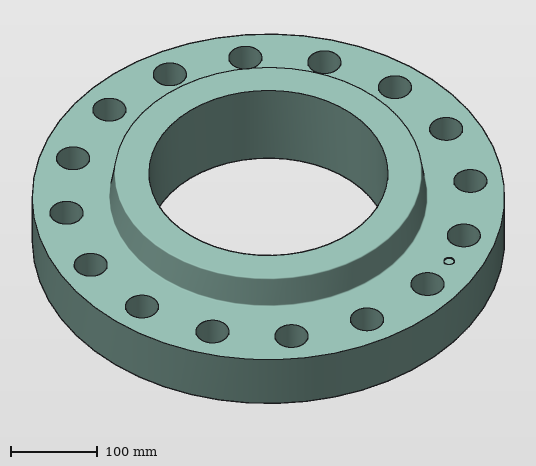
import cadquery as cq

flange_diameter = 546.0
flange_thickness = 70.0
bore_diameter = 276.0

total_height = 108.0
hub_base_diameter = 367.0
hub_top_diameter = 355.0
hub_root_radius = 1.5
hub_edge_radius = 1.5

edge_search_margin = 0.5

bolt_count = 16
bolt_circle_diameter = 469.5
bolt_hole_diameter = 38.0

recess_diameter = 12.0
recess_depth = 1.5


def ring_blank():
    """Disc with its tapered hub and bore, turned about Z."""
    profile = (
        cq.Workplane("XZ")
        .moveTo(bore_diameter / 2, 0)
        .lineTo(flange_diameter / 2, 0)
        .lineTo(flange_diameter / 2, flange_thickness)
        .lineTo(hub_base_diameter / 2, flange_thickness)
        .lineTo(hub_top_diameter / 2, total_height)
        .lineTo(bore_diameter / 2, total_height)
        .close()
    )
    return profile.revolve(360, (0, 0, 0), (0, 1, 0))


def round_circle(body, diameter, height, radius):
    """Fillet the circular edge of the given diameter at the given height."""
    reach = diameter / 2 + edge_search_margin
    picker = cq.selectors.BoxSelector(
        (-reach, -reach, height - edge_search_margin),
        (reach, reach, height + edge_search_margin),
        boundingbox=True,
    )
    return body.edges(picker).edges(cq.selectors.RadiusNthSelector(-1)).fillet(radius)


def bolt_holes():
    return (
        cq.Workplane("XY")
        .polarArray(bolt_circle_diameter / 2, 0, 360, bolt_count)
        .circle(bolt_hole_diameter / 2)
        .extrude(flange_thickness)
    )


def face_recess():
    """Flat-bottomed cutter on the bolt circle, half a hole pitch from +X."""
    half_pitch = 180.0 / bolt_count
    return (
        cq.Workplane("XY")
        .workplane(offset=flange_thickness - recess_depth)
        .polarArray(bolt_circle_diameter / 2, half_pitch, 360, 1)
        .circle(recess_diameter / 2)
        .extrude(recess_depth)
    )


body = ring_blank()
body = round_circle(body, hub_base_diameter, flange_thickness, hub_root_radius)
body = round_circle(body, hub_top_diameter, total_height, hub_edge_radius)
result = body.cut(bolt_holes()).cut(face_recess())